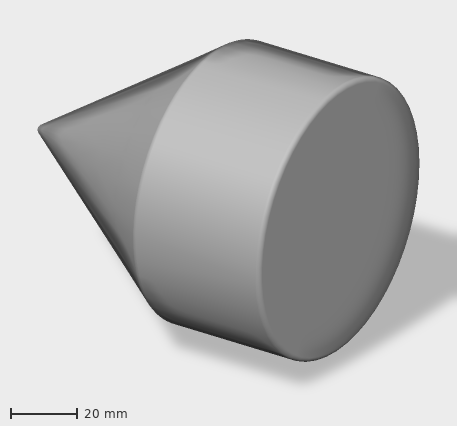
import cadquery as cq
import math

length = 108.6
radius = 44.5
body_start = 63.4
tip_radius = 1.7
shoulder_radius = 2.2
rear_radius = 1.5

center_to_shoulder = body_start - tip_radius
flank_angle = math.atan2(radius, center_to_shoulder) - math.asin(
    tip_radius / math.hypot(radius, center_to_shoulder)
)
tangent_x = tip_radius * (1 - math.sin(flank_angle))
tangent_r = tip_radius * math.cos(flank_angle)
arc_mid_angle = (math.pi / 2 - flank_angle) / 2
arc_mid_x = tip_radius * (1 - math.cos(arc_mid_angle))
arc_mid_r = tip_radius * math.sin(arc_mid_angle)

profile = (
    cq.Workplane("XY")
    .moveTo(0, 0)
    .threePointArc((arc_mid_x, arc_mid_r), (tangent_x, tangent_r))
    .lineTo(body_start, radius)
    .lineTo(length, radius)
    .lineTo(length, 0)
    .close()
)
solid = profile.revolve(360, (0, 0, 0), (1, 0, 0))

selection_margin = 1.1
reach = radius + selection_margin
shoulder_selector = cq.selectors.BoxSelector(
    (body_start - selection_margin, -reach, -reach),
    (body_start + selection_margin, reach, reach),
)
solid = solid.edges("%CIRCLE").edges(shoulder_selector).fillet(shoulder_radius)
result = solid.faces(">X").edges().fillet(rear_radius)